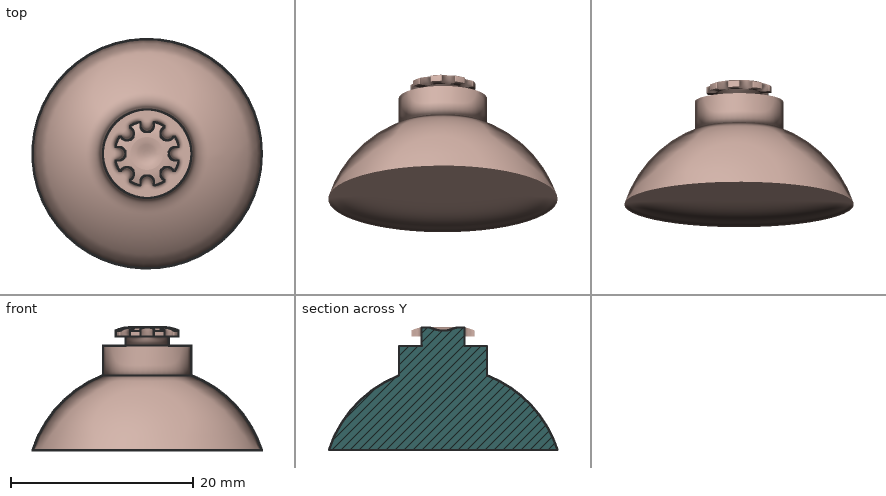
import cadquery as cq
import math

COLLAR_BASE_Z = 8.22
COLLAR_TOP_Z = 11.46
KNOB_BASE_Z = 12.45
KNOB_EDGE_Z = 13.09
TOP_Z = 13.49

BASE_RADIUS = 25.15 / 2
COLLAR_RADIUS = 9.7 / 2
STEM_RADIUS = 4.75 / 2
KNOB_RADIUS = 3.56
CREST_RADIUS = 1.8
DISH_RADIUS = 1.04

DISH_SLOPE = math.radians(23)

NOTCH_COUNT = 8
NOTCH_RADIUS = 0.75
NOTCH_CENTER = STEM_RADIUS + NOTCH_RADIUS
TOOTH_CORNER_FILLET = 0.1


def arc_middle(start, end, center_r, center_z):
    """Middle point of the arc joining two profile points about the given centre."""
    radius = math.hypot(start[0] - center_r, start[1] - center_z)
    chord_r = (start[0] + end[0]) / 2 - center_r
    chord_z = (start[1] + end[1]) / 2 - center_z
    stretch = radius / math.hypot(chord_r, chord_z)
    return (center_r + chord_r * stretch, center_z + chord_z * stretch)


def make_body():
    """Spherical cap with a cylindrical collar and a stem."""
    base_edge = (BASE_RADIUS, 0)
    collar_foot = (COLLAR_RADIUS, COLLAR_BASE_Z)
    sphere_z = (COLLAR_RADIUS**2 + COLLAR_BASE_Z**2 - BASE_RADIUS**2) / (2 * COLLAR_BASE_Z)
    return (
        cq.Workplane("XZ")
        .lineTo(*base_edge)
        .threePointArc(arc_middle(base_edge, collar_foot, 0, sphere_z), collar_foot)
        .lineTo(COLLAR_RADIUS, COLLAR_TOP_Z)
        .lineTo(STEM_RADIUS, COLLAR_TOP_Z)
        .lineTo(STEM_RADIUS, KNOB_BASE_Z)
        .lineTo(0, KNOB_BASE_Z)
        .close()
        .revolve(360, (0, 0), (0, 1))
    )


def make_knob_blank():
    """Round knob whose top falls from a crest outward to the rim and inward to a dish."""
    rim = (KNOB_RADIUS, KNOB_EDGE_Z)
    crest = (CREST_RADIUS, TOP_Z)

    rim_run = KNOB_RADIUS - CREST_RADIUS
    rim_drop = TOP_Z - KNOB_EDGE_Z
    crown_arc_radius = (rim_run**2 + rim_drop**2) / (2 * rim_drop)
    crown_middle = arc_middle(rim, crest, CREST_RADIUS, TOP_Z - crown_arc_radius)

    lip_arc_radius = (CREST_RADIUS - DISH_RADIUS) / math.sin(DISH_SLOPE)
    dish_arc_radius = DISH_RADIUS / math.sin(DISH_SLOPE)
    dish_edge_z = TOP_Z - lip_arc_radius * (1 - math.cos(DISH_SLOPE))
    dish_bottom_z = dish_edge_z - dish_arc_radius * (1 - math.cos(DISH_SLOPE))
    dish_edge = (DISH_RADIUS, dish_edge_z)
    dish_bottom = (0, dish_bottom_z)
    lip_middle = arc_middle(crest, dish_edge, CREST_RADIUS, TOP_Z - lip_arc_radius)
    dish_middle = arc_middle(dish_edge, dish_bottom, 0, dish_bottom_z + dish_arc_radius)

    return (
        cq.Workplane("XZ")
        .moveTo(0, KNOB_BASE_Z)
        .lineTo(KNOB_RADIUS, KNOB_BASE_Z)
        .lineTo(*rim)
        .threePointArc(crown_middle, crest)
        .threePointArc(lip_middle, dish_edge)
        .threePointArc(dish_middle, dish_bottom)
        .close()
        .revolve(360, (0, 0), (0, 1))
    )


def make_tooth_outline():
    """Prism with the notched outline of the knob and rounded tooth corners."""
    knob_height = TOP_Z - KNOB_BASE_Z
    disc = cq.Workplane("XY").workplane(offset=KNOB_BASE_Z).circle(KNOB_RADIUS).extrude(knob_height)
    notches = (
        cq.Workplane("XY")
        .workplane(offset=KNOB_BASE_Z)
        .polarArray(NOTCH_CENTER, 0, 360, NOTCH_COUNT)
        .circle(NOTCH_RADIUS)
        .extrude(knob_height)
    )
    return disc.cut(notches).edges("|Z").fillet(TOOTH_CORNER_FILLET)


knob = make_knob_blank().intersect(make_tooth_outline())
result = make_body().union(knob)